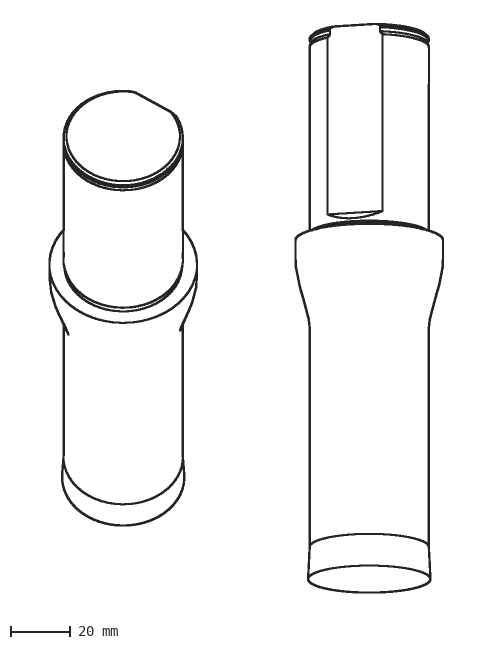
import cadquery as cq
import math

overall_height = 187.0
body_diameter = 39.99

head_height = 11.7
rim_diameter = 41.0
rim_top_height = 1.3
tip_cone_height = 0.7
tip_flat_diameter = 15.0

collar_diameter = 49.5
collar_top_height = 117.0
collar_bottom_height = 112.0
taper_bottom_height = 87.2
taper_angle = math.radians(15.0)
taper_upper_bend_height = 8.2
taper_upper_bend_inset = 0.8
taper_lower_bend_height = 4.1

undercut_diameter = 39.5
undercut_top_height = 119.2
undercut_run_out = 0.4
undercut_face_diameter = 41.0
undercut_face_depth = 0.2

shank_diameter = 39.99
groove_diameter = 39.2
groove_bottom_height = 183.3
groove_slope_height = 1.1
groove_top_height = 185.75
end_land_height = 0.3
end_chamfer_width = 1.0

flat_distance = 17.6
flat_end_height = 122.6


def revolve_about_z(outline):
    return outline.close().revolve(360, (0, 0, 0), (0, 1, 0))


def build_cutting_head():
    """Slightly flared head with a flat tip and a very shallow cone underneath."""
    rim_radius = rim_diameter / 2
    outline = (
        cq.Workplane("XZ")
        .moveTo(0, 0)
        .lineTo(tip_flat_diameter / 2, 0)
        .lineTo(rim_radius, tip_cone_height)
        .lineTo(rim_radius, rim_top_height)
        .lineTo(body_diameter / 2, head_height)
        .lineTo(0, head_height)
    )
    return revolve_about_z(outline)


def build_holder_blank():
    """Turned body, taper, collar and shank, without the flat."""
    body_radius = body_diameter / 2
    collar_radius = collar_diameter / 2
    shank_radius = shank_diameter / 2
    undercut_radius = undercut_diameter / 2
    groove_radius = groove_diameter / 2

    upper_bend = (collar_radius - taper_upper_bend_inset, collar_bottom_height - taper_upper_bend_height)
    lower_bend_height = taper_bottom_height + taper_lower_bend_height
    steep_run = (upper_bend[1] - lower_bend_height) * math.tan(taper_angle)
    lower_bend = (upper_bend[0] - steep_run, lower_bend_height)
    taper_top = (collar_radius, collar_bottom_height)

    outline = (
        cq.Workplane("XZ")
        .moveTo(0, head_height)
        .lineTo(body_radius, head_height)
        .lineTo(body_radius, taper_bottom_height)
        .spline([lower_bend, upper_bend, taper_top], tangents=[(0, 1), (0, 1)], includeCurrent=True)
        .lineTo(collar_radius, collar_top_height)
        .lineTo(undercut_face_diameter / 2, collar_top_height)
        .lineTo(undercut_radius, collar_top_height - undercut_face_depth)
        .lineTo(undercut_radius, undercut_top_height - undercut_run_out)
        .lineTo(shank_radius, undercut_top_height)
        .lineTo(shank_radius, groove_bottom_height)
        .lineTo(groove_radius, groove_bottom_height + groove_slope_height)
        .lineTo(groove_radius, groove_top_height)
        .lineTo(shank_radius, groove_top_height)
        .lineTo(shank_radius, groove_top_height + end_land_height)
        .lineTo(shank_radius - end_chamfer_width, overall_height)
        .lineTo(0, overall_height)
    )
    return revolve_about_z(outline)


def build_flat_cutter():
    """Material outside the flat, with a 45 degree face at its lower end."""
    outer_reach = shank_diameter / 2
    run_out = outer_reach - flat_distance
    return (
        cq.Workplane("YZ")
        .moveTo(flat_distance, flat_end_height)
        .lineTo(outer_reach, flat_end_height - run_out)
        .lineTo(outer_reach, overall_height)
        .lineTo(flat_distance, overall_height)
        .close()
        .extrude(shank_diameter / 2, both=True)
    )


cutting_head = build_cutting_head()

holder = build_holder_blank().cut(build_flat_cutter())

result = cq.Compound.makeCompound([cutting_head.val(), holder.val()])